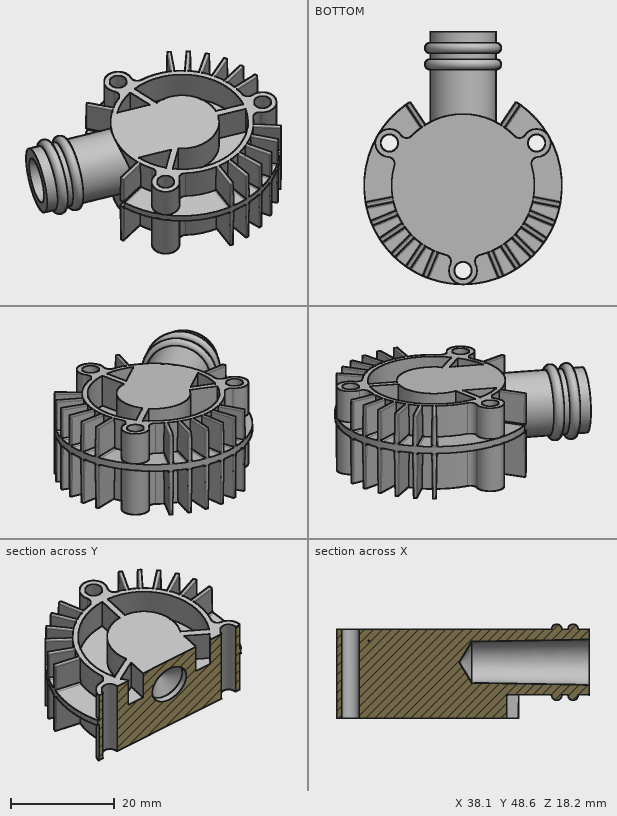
import cadquery as cq
import math

body_height = 17.145
hub_radius = 13.75
tube_radius = 12.7 / 2
tube_axis_z = body_height - tube_radius
flange_radius = 19.05
flange_thickness = 1.4
flange_top = tube_axis_z
flange_bottom = flange_top - flange_thickness

boss_radius = 2.7
boss_hole_diameter = 3.28
boss_circle_radius = flange_radius - boss_radius
boss_angles = (90, 210, 330)
boss_root_fillet = 1.3

fin_pitch = 11.25
fin_steps = (2, 3, 4, 5, 6, 7)
end_fin_step = 13
fin_root_thickness = 1.0
fin_draft = 1.0
fin_edge_round = 0.15
fin_root_fillet = 0.25
fin_inner_radius = hub_radius - 0.4

pocket_radius = 25.4 / 2
pocket_depth = body_height - flange_top
core_radius = 7.12
spoke_thickness = 1.3

tube_end_y = -29.59
bore_mouth_radius = 8.74 / 2
bore_end_radius = 7.95 / 2
bore_draft = 1.0
bore_tip_angle = 118

bead_radius = 1.025
bead_positions_y = (-23.3, -26.45)


def polar(radius, angle):
    return (radius * math.cos(math.radians(angle)), radius * math.sin(math.radians(angle)))


def disc(radius, bottom, height):
    return cq.Workplane("XY", origin=(0, 0, bottom)).circle(radius).extrude(height)


def make_hub():
    """Full-height cylinder with three bosses blended into it."""
    boss_centers = [polar(boss_circle_radius, angle) for angle in boss_angles]
    bosses = cq.Workplane("XY").pushPoints(boss_centers).circle(boss_radius).extrude(body_height)
    hub = disc(hub_radius, 0, body_height).union(bosses)
    return hub.edges("|Z").fillet(boss_root_fillet)


def make_flange():
    """Disc with an open sector between the outward faces of the two end fins."""
    half_gap = math.radians(180 - end_fin_step * fin_pitch)
    reach = 2 * flange_radius
    apex_y = fin_root_thickness / 2 / math.sin(half_gap)
    corner_x = reach * math.tan(half_gap)
    sector = (
        cq.Workplane("XY", origin=(0, 0, flange_bottom))
        .polyline([(0, apex_y), (corner_x, apex_y - reach), (-corner_x, apex_y - reach)])
        .close()
        .extrude(flange_thickness)
    )
    return disc(flange_radius, flange_bottom, flange_thickness).cut(sector)


def make_blade(height):
    """Fin blade along +Y, standing on z = 0, thinning upward, with its free edges rounded."""
    half_root = fin_root_thickness / 2
    half_tip = half_root - height * math.tan(math.radians(fin_draft))
    blade = (
        cq.Workplane("XZ", origin=(0, fin_inner_radius, 0))
        .polyline([(-half_root, 0), (half_root, 0), (half_tip, height), (-half_tip, height)])
        .close()
        .extrude(-flange_radius)
        .intersect(disc(flange_radius, 0, height))
    )
    return blade.faces(">Z or >Y").edges("not <Z").fillet(fin_edge_round)


def make_root_fillet(side):
    """Concave fillet between one flank of the blade and the flange."""
    flank_x = side * fin_root_thickness / 2
    outer_x = flank_x + side * fin_root_fillet
    sag = fin_root_fillet * (1 - math.sqrt(0.5))
    return (
        cq.Workplane("XZ", origin=(0, fin_inner_radius, 0))
        .moveTo(0, 0)
        .lineTo(outer_x, 0)
        .threePointArc((flank_x + side * sag, sag), (flank_x, fin_root_fillet))
        .lineTo(0, fin_root_fillet)
        .close()
        .extrude(-flange_radius)
        .intersect(disc(flange_radius, 0, fin_root_fillet))
    )


def rotate_about_z(body, angle):
    return body.rotate((0, 0, 0), (0, 0, 1), angle)


def make_fin(height, fillet_sides):
    """Fin along +Y standing on z = 0, with root fillets on the given flanks."""
    fin = make_blade(height)
    for side in fillet_sides:
        fin = fin.union(make_root_fillet(side))
    return fin


def make_fin_ring(height):
    """All fins on one face of the flange, standing on z = 0."""
    fin = make_fin(height, (-1, 1))
    fins = []
    for direction in (-1, 1):
        fins += [rotate_about_z(fin, direction * step * fin_pitch) for step in fin_steps]
        end_fin = make_fin(height, (direction,))
        fins.append(rotate_about_z(end_fin, direction * end_fin_step * fin_pitch))
    return cq.Compound.makeCompound([fin.val() for fin in fins])


def make_pocket():
    """Ring-shaped pocket volume, interrupted by the outlet channel and the spokes."""
    pocket = disc(pocket_radius, flange_top, pocket_depth)
    core = disc(core_radius, flange_top, pocket_depth)
    channel = (
        cq.Workplane("XY", origin=(0, -hub_radius / 2, flange_top))
        .rect(2 * tube_radius, hub_radius)
        .extrude(pocket_depth)
    )
    spoke = (
        cq.Workplane("XY", origin=(hub_radius / 2, 0, flange_top))
        .rect(hub_radius, spoke_thickness)
        .extrude(pocket_depth)
    )
    pocket = pocket.cut(core).cut(channel)
    for angle in boss_angles:
        pocket = pocket.cut(rotate_about_z(spoke, angle))
    return pocket


def make_bead(bead_y):
    """Half-round ring on the outside of the tube."""
    bead = (
        cq.Workplane("XY")
        .moveTo(0, bead_y - bead_radius)
        .lineTo(tube_radius, bead_y - bead_radius)
        .threePointArc((tube_radius + bead_radius, bead_y), (tube_radius, bead_y + bead_radius))
        .lineTo(0, bead_y + bead_radius)
        .close()
        .revolve(360, (0, 0), (0, 1))
    )
    return bead.translate((0, 0, tube_axis_z))


def make_tube():
    """Outlet tube from the core to its open end, with two sealing beads."""
    start = cq.Workplane("XZ", origin=(0, 0, tube_axis_z))
    tube = start.circle(tube_radius).extrude(-tube_end_y)
    for bead_y in bead_positions_y:
        tube = tube.union(make_bead(bead_y))
    return tube


def make_bore():
    """Bore narrowing from the tube mouth, closed by a drill-point cone."""
    bore_length = (bore_mouth_radius - bore_end_radius) / math.tan(math.radians(bore_draft))
    tip_length = bore_end_radius / math.tan(math.radians(bore_tip_angle / 2))
    bore_end_y = tube_end_y + bore_length
    profile = [
        (0, tube_end_y),
        (bore_mouth_radius, tube_end_y),
        (bore_end_radius, bore_end_y),
        (0, bore_end_y + tip_length),
    ]
    bore = cq.Workplane("XY").polyline(profile).close().revolve(360, (0, 0), (0, 1))
    return bore.translate((0, 0, tube_axis_z))


def make_screw_holes():
    boss_centers = [polar(boss_circle_radius, angle) for angle in boss_angles]
    return cq.Workplane("XY").pushPoints(boss_centers).circle(boss_hole_diameter / 2).extrude(body_height)


upper_fins = make_fin_ring(body_height - flange_top).translate(cq.Vector(0, 0, flange_top))
lower_fins = make_fin_ring(flange_bottom).mirror("XY").translate(cq.Vector(0, 0, flange_bottom))

body = make_hub().union(make_flange())
body = body.union(upper_fins).union(lower_fins)
body = body.cut(make_pocket()).union(make_tube())
result = body.cut(make_bore()).cut(make_screw_holes())